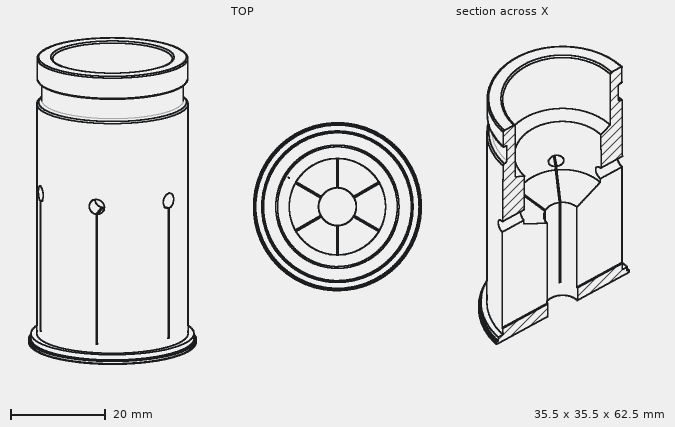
import cadquery as cq
import math


height = 62.5
body_radius = 32.0 / 2
head_radius = 31.9 / 2
edge_chamfer = 0.3

groove_radius = 30.0 / 2
groove_top = height - 5.0
groove_bottom = height - 9.9
groove_fillet = 0.5
head_lower_chamfer = 0.25
shoulder_chamfer = 0.4

flange_radius = 35.5 / 2
flange_thickness = 0.9
flange_chamfer = 0.2
step_radius = 34.5 / 2
step_top = 2.0

mouth_radius = 25.3 / 2
mouth_depth = 15.5
mouth_chamfer = 0.4
chamber_radius = 20.4 / 2
chamber_floor = 31.25
throat_radius = 7.95 / 2
cone_slope = math.tan(math.radians(30))
upper_cone_height = (mouth_radius - chamber_radius) * cone_slope
lower_cone_height = (chamber_radius - throat_radius) * cone_slope

hole_count = 6
hole_diameter = 3.25
hole_height = 33.95
slot_width = 0.3
slot_bottom = 3.9


def revolve_profile(points):
    """Revolve a closed (radius, height) outline about the Z axis."""
    return cq.Workplane("XZ").polyline(points).close().revolve(360, (0, 0), (0, 1))


def make_outside():
    """Solid with the flange, body, groove and head."""
    flare_radius = groove_radius + groove_fillet
    profile = (
        cq.Workplane("XZ")
        .lineTo(flange_radius - flange_chamfer, 0)
        .lineTo(flange_radius, flange_chamfer)
        .lineTo(flange_radius, flange_thickness - flange_chamfer)
        .lineTo(flange_radius - flange_chamfer, flange_thickness)
        .lineTo(step_radius, flange_thickness)
        .lineTo(step_radius, step_top)
        .lineTo(body_radius, step_top)
        .lineTo(body_radius, groove_bottom - shoulder_chamfer)
        .lineTo(body_radius - shoulder_chamfer, groove_bottom)
        .lineTo(flare_radius, groove_bottom)
        .radiusArc((groove_radius, groove_bottom + groove_fillet), groove_fillet)
        .lineTo(groove_radius, groove_top)
        .lineTo(head_radius - head_lower_chamfer, groove_top)
        .lineTo(head_radius, groove_top + head_lower_chamfer)
        .lineTo(head_radius, height - edge_chamfer)
        .lineTo(head_radius - edge_chamfer, height)
        .lineTo(0, height)
        .close()
    )
    return profile.revolve(360, (0, 0), (0, 1))


def make_bore():
    """Wide mouth, conical step, chamber, conical floor and narrow throat."""
    mouth_floor = height - mouth_depth
    return revolve_profile([
        (0, 0),
        (throat_radius, 0),
        (throat_radius, chamber_floor - lower_cone_height),
        (chamber_radius, chamber_floor),
        (chamber_radius, mouth_floor - upper_cone_height),
        (mouth_radius, mouth_floor),
        (mouth_radius, height - mouth_chamfer),
        (mouth_radius + mouth_chamfer, height),
        (0, height),
    ])


def make_slotted_hole():
    """Radial hole toward -Y with a narrow slot running down from it."""
    hole = (
        cq.Workplane("XZ")
        .center(0, hole_height)
        .circle(hole_diameter / 2)
        .extrude(flange_radius)
    )
    slot = cq.Workplane("XY").box(
        slot_width, flange_radius, hole_height - slot_bottom, centered=(True, False, False)
    ).translate((0, -flange_radius, slot_bottom))
    return hole.union(slot)


result = make_outside().cut(make_bore())
slotted_hole = make_slotted_hole()
for index in range(hole_count):
    angle = index * 360 / hole_count
    result = result.cut(slotted_hole.rotate((0, 0, 0), (0, 0, 1), angle))